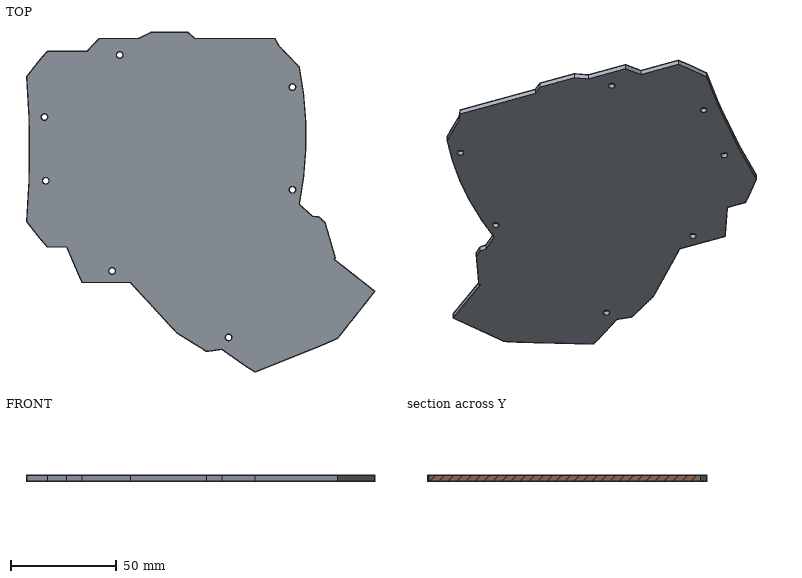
import cadquery as cq

plate_length = 165.23
plate_width = 161.25
plate_thickness = 3.0
hole_diameter = 3.0

left_middle_y = 105.8
shoulder_offset = 46.5
upper_shoulder_y = left_middle_y + shoulder_offset
lower_shoulder_y = left_middle_y - shoulder_offset

top_edge_y = 158.3
foot_edge_y = 42.5

right_corner_x = 129.4
right_lower_y = 79.6
right_upper_y = 144.7
right_bulge = 3.2

left_side_half = [
    (1.2, 9.3),
    (1.1, 15.9),
    (0.95, 18.0),
    (0.0, 34.4),
    (0.9, 35.5),
    (5.9, 41.9),
    (9.9, shoulder_offset),
]

bottom_corners = [
    (19.0, lower_shoulder_y),
    (24.8, 45.9),
    (26.3, foot_edge_y),
    (49.2, foot_edge_y),
    (69.0, 21.0),
    (71.4, 18.5),
    (85.4, 9.8),
    (92.6, 10.8),
    (104.0, 2.8),
    (108.4, 0.0),
    (140.7, 13.0),
    (147.5, 16.0),
    (plate_length, 38.4),
    (145.9, 53.6),
    (146.5, 54.2),
    (141.6, 71.0),
    (138.7, 73.7),
    (135.6, 74.0),
]

top_corners = [
    (119.7, 154.8),
    (117.8, top_edge_y),
    (79.9, top_edge_y),
    (76.5, plate_width),
    (59.1, plate_width),
    (53.1, top_edge_y),
    (34.4, top_edge_y),
    (28.7, upper_shoulder_y),
]

hole_centers = [
    (44.2, 150.4),
    (8.5, 121.0),
    (9.1, 90.8),
    (40.6, 48.0),
    (95.8, 16.5),
    (126.1, 135.2),
    (126.1, 86.5),
]


def left_side_corners():
    """Left side corners from the upper left shoulder down to the lower left shoulder."""
    upper = [(x, left_middle_y + offset) for x, offset in reversed(left_side_half)]
    lower = [(x, left_middle_y - offset) for x, offset in left_side_half]
    return upper + lower


def make_plate():
    arc_start = (right_corner_x, right_lower_y)
    arc_middle = (right_corner_x + right_bulge, (right_lower_y + right_upper_y) / 2)
    arc_end = (right_corner_x, right_upper_y)
    return (
        cq.Workplane("XY")
        .polyline(left_side_corners() + bottom_corners + [arc_start])
        .threePointArc(arc_middle, arc_end)
        .polyline(top_corners, includeCurrent=True)
        .close()
        .extrude(plate_thickness)
    )


def drill_holes(plate):
    holes = (
        cq.Workplane("XY")
        .pushPoints(hole_centers)
        .circle(hole_diameter / 2)
        .extrude(plate_thickness)
    )
    return plate.cut(holes)


result = drill_holes(make_plate())